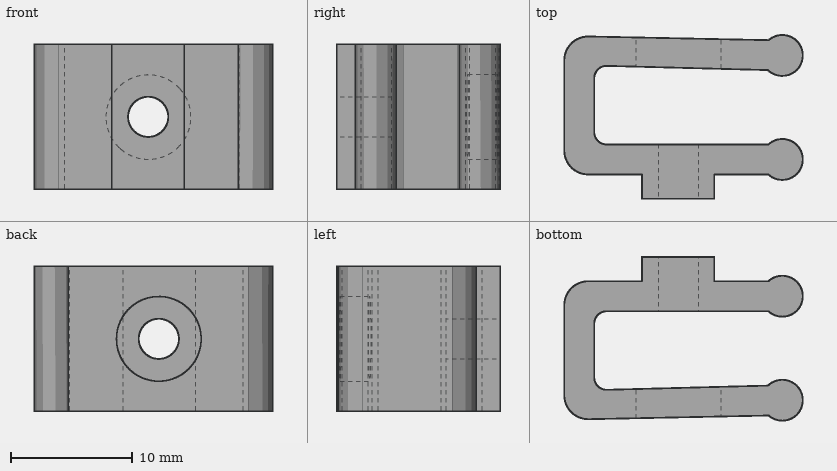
import cadquery as cq
import math

height = 12.0
wall = 2.5
bead_radius = 1.7
bead_center_x = 18.02
outer_corner_radius = 2.0
inner_corner_radius = 1.0

bead_spacing = 8.59
outer_slope = math.radians(1.17)
inner_slope = math.radians(1.5)

pad_width = 6.0
pad_depth = 2.0
pad_center_x = 9.42

screw_hole_diameter = 3.3
access_hole_diameter = 7.0

straight_bead_y = wall / 2
sloping_bead_y = straight_bead_y + bead_spacing
gap_middle_y = (straight_bead_y + sloping_bead_y) / 2


def sloping_face_y(x, offset, slope):
    """Y at x on a face of the sloping arm lying `offset` from the bead centre."""
    return sloping_bead_y + offset + (bead_center_x - x) * math.tan(slope)


def make_clip():
    outer = (
        cq.Workplane("XY")
        .polyline([
            (0, 0),
            (bead_center_x, 0),
            (bead_center_x, sloping_face_y(bead_center_x, wall / 2, outer_slope)),
            (0, sloping_face_y(0, wall / 2, outer_slope)),
        ])
        .close()
        .extrude(height)
        .edges("|Z and <X")
        .fillet(outer_corner_radius)
    )
    opening = (
        cq.Workplane("XY")
        .polyline([
            (wall, wall),
            (bead_center_x, wall),
            (bead_center_x, sloping_face_y(bead_center_x, -wall / 2, inner_slope)),
            (wall, sloping_face_y(wall, -wall / 2, inner_slope)),
        ])
        .close()
        .extrude(height)
        .edges("|Z and <X")
        .fillet(inner_corner_radius)
    )
    return outer.cut(opening)


def make_beads():
    centers = [(bead_center_x, straight_bead_y), (bead_center_x, sloping_bead_y)]
    return cq.Workplane("XY").pushPoints(centers).circle(bead_radius).extrude(height)


def make_pad():
    return (
        cq.Workplane("XY")
        .center(pad_center_x, (wall - pad_depth) / 2)
        .rect(pad_width, pad_depth + wall)
        .extrude(height)
    )


def make_hole(diameter, start_y, end_y):
    """Cylinder along +Y through the middle of the pad."""
    return (
        cq.Workplane("XZ", origin=(pad_center_x, start_y, height / 2))
        .circle(diameter / 2)
        .extrude(start_y - end_y)
    )


screw_hole = make_hole(screw_hole_diameter, -pad_depth, gap_middle_y)
access_hole = make_hole(access_hole_diameter, gap_middle_y, sloping_bead_y + wall)

result = make_clip().union(make_beads()).union(make_pad()).cut(screw_hole).cut(access_hole)